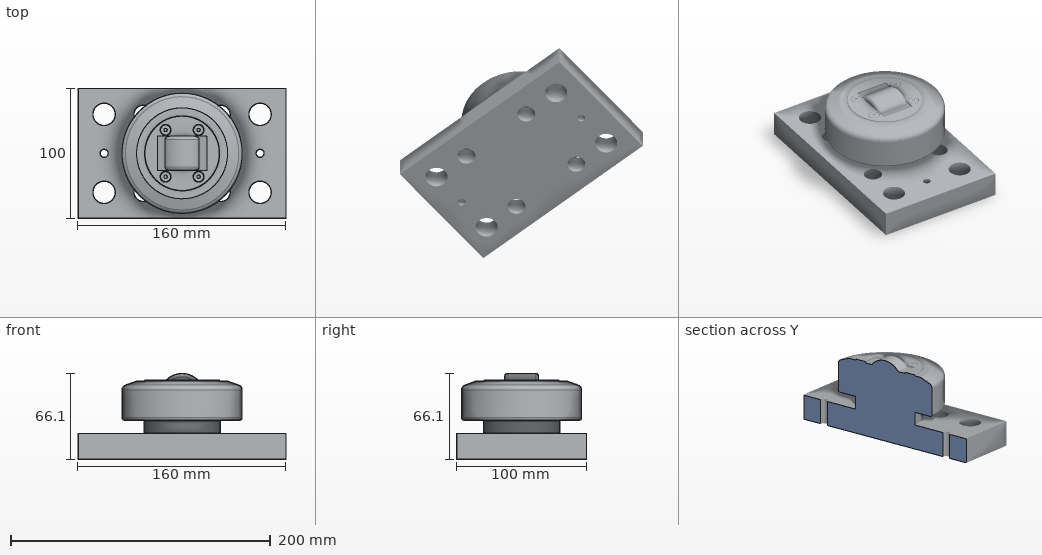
import cadquery as cq
import math

PLATE_X = 160.0
PLATE_Y = 100.0
PLATE_Z = 20.0
BOLT_X = 60.0
BOLT_Y = 30.0
BOLT_DIA = 17.0
DOWEL_DIA = 6.0
INNER_HOLE_OFFSET = 30.0
INNER_HOLE_DIA = 13.84

NECK_DIA = 59.0
NECK_CHAMFER = 0.4

WHEEL_DIA = 92.5
WHEEL_BOTTOM = 30.0
WHEEL_TOP = 60.2
WHEEL_TOP_DIA = 70.0
CONE_ANGLE = 20.0
CONE_FILLET = 4.0
BOTTOM_FILLET = 2.0

CAP_DIA = 57.8
CAP_TOP = 61.0
CAP_CHAMFER = 0.3

POCKET_X = 38.2
POCKET_Y = 26.5
POCKET_DEPTH = 1.0
POCKET_CORNER = 0.5
ROLLER_TOP = 66.1
ROLLER_RADIUS = 17.0
ROLLER_LENGTH = 26.3
ROLLER_FILLET = 2.6

SCREW_X = 12.7
SCREW_Y = 18.0
SCREW_BORE_DIA = 8.4
SCREW_HEAD_DIA = 7.8
SCREW_GAP_DEPTH = 1.0
SOCKET_DIA = 2.6
SOCKET_DEPTH = 0.3


def mirrored(x, y):
    """The four points placed symmetrically about the X and Y axes."""
    return [(sx * x, sy * y) for sx in (-1, 1) for sy in (-1, 1)]


def drill(body, points, diameter, top, depth):
    """Cut round holes downwards from the height `top`."""
    hole_bottoms = cq.Workplane("XY").workplane(offset=top - depth).pushPoints(points)
    holes = hole_bottoms.circle(diameter / 2).extrude(depth)
    return body.cut(holes)


def make_plate():
    """Rectangular plate with through holes for bolts and dowels."""
    plate = cq.Workplane("XY").box(PLATE_X, PLATE_Y, PLATE_Z, centered=(True, True, False))
    plate = drill(plate, mirrored(BOLT_X, BOLT_Y), BOLT_DIA, PLATE_Z, PLATE_Z)
    plate = drill(plate, mirrored(INNER_HOLE_OFFSET, INNER_HOLE_OFFSET), INNER_HOLE_DIA, PLATE_Z, PLATE_Z)
    return drill(plate, [(-BOLT_X, 0), (BOLT_X, 0)], DOWEL_DIA, PLATE_Z, PLATE_Z)


def make_neck():
    """Short cylinder with a chamfer at both ends."""
    height = WHEEL_BOTTOM - PLATE_Z
    neck = cq.Workplane("XY").workplane(offset=PLATE_Z).circle(NECK_DIA / 2).extrude(height)
    return neck.edges().chamfer(NECK_CHAMFER)


def make_wheel():
    """Solid disc with a conical shoulder, rounded where the cone meets the rim."""
    rim = WHEEL_DIA / 2
    shoulder = WHEEL_TOP_DIA / 2
    cone_drop = (rim - shoulder) * math.tan(math.radians(CONE_ANGLE))
    cone_foot = WHEEL_TOP - cone_drop
    disc = (
        cq.Workplane("XZ")
        .moveTo(0, WHEEL_BOTTOM)
        .lineTo(rim, WHEEL_BOTTOM)
        .lineTo(rim, cone_foot)
        .lineTo(shoulder, WHEEL_TOP)
        .lineTo(0, WHEEL_TOP)
        .close()
        .revolve(360, (0, 0, 0), (0, 1, 0))
    )
    disc = disc.edges(cq.NearestToPointSelector((0, 0, cone_foot))).fillet(CONE_FILLET)
    return disc.faces("<Z").edges().fillet(BOTTOM_FILLET)


def make_cap():
    """Part of the cap that stands proud of the wheel."""
    height = CAP_TOP - WHEEL_TOP
    cap = cq.Workplane("XY").workplane(offset=WHEEL_TOP).circle(CAP_DIA / 2).extrude(height)
    return cap.faces(">Z").edges().chamfer(CAP_CHAMFER)


def cut_pocket(body):
    """Sink a shallow rectangular pocket into the cap."""
    pocket = (
        cq.Workplane("XY")
        .workplane(offset=CAP_TOP - POCKET_DEPTH)
        .rect(POCKET_X, POCKET_Y)
        .extrude(POCKET_DEPTH)
        .edges("|Z")
        .fillet(POCKET_CORNER)
    )
    return body.cut(pocket)


def make_roller():
    """Part of a roller along Y that shows above the pocket floor."""
    floor = CAP_TOP - POCKET_DEPTH
    roller = (
        cq.Workplane("XZ")
        .center(0, ROLLER_TOP - ROLLER_RADIUS)
        .circle(ROLLER_RADIUS)
        .extrude(ROLLER_LENGTH / 2, both=True)
        .edges("%CIRCLE")
        .fillet(ROLLER_FILLET)
    )
    pocket_floor = cq.Workplane("XY").workplane(offset=floor)
    above_floor = pocket_floor.rect(POCKET_X, POCKET_Y).extrude(ROLLER_TOP - floor)
    return roller.intersect(above_floor)


def cut_screws(body):
    """Cut the ring gap around each screw head and the socket in its centre."""
    points = mirrored(SCREW_X, SCREW_Y)
    gap = (
        cq.Workplane("XY")
        .workplane(offset=CAP_TOP - SCREW_GAP_DEPTH)
        .pushPoints(points)
        .circle(SCREW_BORE_DIA / 2)
        .circle(SCREW_HEAD_DIA / 2)
        .extrude(SCREW_GAP_DEPTH)
    )
    return drill(body.cut(gap), points, SOCKET_DIA, CAP_TOP, SOCKET_DEPTH)


body = make_plate().union(make_neck()).union(make_wheel()).union(make_cap())
result = cut_screws(cut_pocket(body)).union(make_roller())